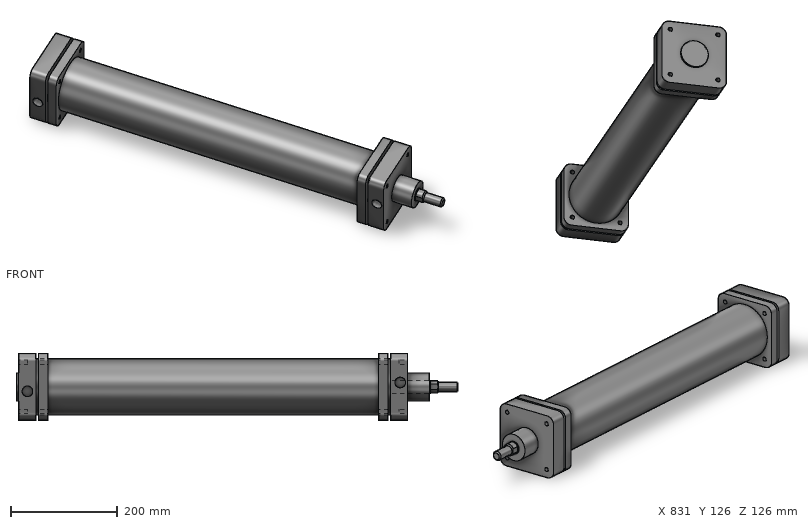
import cadquery as cq

total_length = 831.0
plate_side = 126.0
corner_radius = 15.0

rear_boss_length = 4.0
cap_length = 32.0
gap_length = 5.0
flange_length = 17.5
nose_length = 41.0
front_cap_face = 736.0

tube_radius = 53.0
boss_radius = 27.0
rod_radius = 12.5
shoulder_radius = 12.0
stud_radius = 9.0

rod_protrusion = 2.0
shoulder_length = 16.0
shoulder_chamfer = shoulder_radius - stud_radius
wrench_flats_width = 21.0
stud_chamfer = 2.5

screw_hole_radius = 3.9
screw_offset = 46.5
cap_screw_depth = 17.0

port_radius = 10.0
port_depth = 17.0
port_height = 8.0
rear_port_inset = 17.0
front_port_inset = 14.0

rear_cap_start = rear_boss_length
tube_start = rear_cap_start + cap_length
rear_flange_start = tube_start + gap_length
tube_end = front_cap_face - cap_length
front_flange_start = tube_end - gap_length - flange_length
nose_end = front_cap_face + nose_length
shoulder_start = nose_end + rod_protrusion
shoulder_end = shoulder_start + shoulder_length


def cylinder_x(start, length, radius):
    """Cylinder on the X axis."""
    return cq.Workplane("YZ", origin=(start, 0, 0)).circle(radius).extrude(length)


def plate(start, length):
    """Square plate across the X axis with rounded corners."""
    blank = cq.Workplane("YZ", origin=(start, 0, 0)).rect(plate_side, plate_side).extrude(length)
    return blank.edges("|X").fillet(corner_radius)


def screw_holes(start, length):
    """Cutter for the four corner screw holes."""
    spacing = 2 * screw_offset
    pattern = cq.Workplane("YZ", origin=(start, 0, 0)).rarray(spacing, spacing, 2, 2)
    return pattern.circle(screw_hole_radius).extrude(length)


def port(x, z):
    """Cutter for a blind fluid port entering from the -Y side."""
    sketch = cq.Workplane("XZ", origin=(x, -plate_side / 2, z)).circle(port_radius)
    return sketch.extrude(-port_depth)


def make_rear_cap():
    cap = plate(rear_cap_start, cap_length).union(cylinder_x(0, rear_boss_length, boss_radius))
    cap = cap.cut(screw_holes(rear_cap_start, cap_screw_depth))
    return cap.cut(port(rear_cap_start + rear_port_inset, -port_height))


def make_front_cap():
    """Cap with a nose, bored through for the rod."""
    cap = plate(tube_end, cap_length).union(cylinder_x(front_cap_face, nose_length, boss_radius))
    cap = cap.cut(cylinder_x(tube_end, cap_length + nose_length, rod_radius))
    cap = cap.cut(screw_holes(front_cap_face - cap_screw_depth, cap_screw_depth))
    return cap.cut(port(front_cap_face - front_port_inset, port_height))


def make_flange(start):
    """Plate that fits around the tube."""
    flange = plate(start, flange_length).cut(cylinder_x(start, flange_length, tube_radius))
    return flange.cut(screw_holes(start, flange_length))


def make_tube():
    return cylinder_x(tube_start, tube_end - tube_start, tube_radius)


def make_shoulder():
    """Slightly slimmer, chamfered end of the rod with wrench flats on its -Y and +Y sides."""
    shoulder = cylinder_x(shoulder_start, shoulder_length, shoulder_radius)
    shoulder = shoulder.faces(">X").chamfer(shoulder_chamfer)
    slab = cq.Workplane("YZ", origin=(shoulder_start, 0, 0))
    return shoulder.intersect(slab.rect(wrench_flats_width, 2 * shoulder_radius).extrude(shoulder_length))


def make_rod():
    """Rod from the front end of the tube, with a wrench shoulder and a stud outside the nose."""
    body = cylinder_x(tube_end, shoulder_start - tube_end, rod_radius)
    stud = cylinder_x(shoulder_end, total_length - shoulder_end, stud_radius)
    return body.union(make_shoulder()).union(stud.faces(">X").chamfer(stud_chamfer))


rear_cap = make_rear_cap()
front_cap = make_front_cap()
tube = make_tube()
rod = make_rod()
flanges = [make_flange(start).val() for start in (rear_flange_start, front_flange_start)]

result = cq.Compound.makeCompound([rear_cap.val(), front_cap.val(), tube.val(), rod.val(), *flanges])